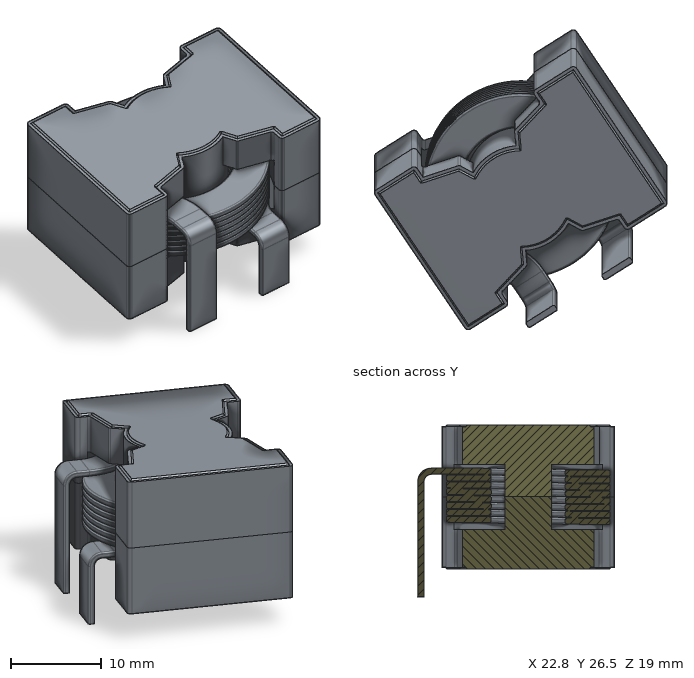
import cadquery as cq
import math

CORE_X = 18.97
CORE_Y = 26.5
CORE_HALF_HEIGHT = 7.76
LEG_INNER_Y = 7.7
POST_RADIUS = 12.0 / 2
WINDOW_RADIUS = 11.24
WINDOW_HALF_HEIGHT = 3.58
NOTCH_ANGLE = 28.0
KNEE_RADIUS = 7.75
LEG_ROOT_X = 7.87
CORNER_FILLET = 0.45
NOTCH_FILLET = 0.35

PAD_HEIGHT = 0.19
PAD_INSET = 0.37

WIRE_WIDTH = 3.8
WIRE_THICKNESS = 0.72
WIRE_FILLET = 0.2
COIL_OUTER_RADIUS = 10.55
COIL_MID_Z = -0.1
PITCH = 0.76
FULL_TURNS = 7
LEAD_Y = 4.98
OUTWARD_BEND_END_X = 9.25
LEAD_OUTER_X = 12.2
DOWN_BEND_RADIUS = 1.17
LEAD_BOTTOM_Z = -11.0

TOLERANCE = 0.03

COIL_RADIUS = COIL_OUTER_RADIUS - WIRE_WIDTH / 2
LEAD_X = LEAD_OUTER_X - WIRE_THICKNESS / 2
DOWN_BEND_START_X = LEAD_X - DOWN_BEND_RADIUS

OUTWARD_BEND_RADIUS = (OUTWARD_BEND_END_X**2 + LEAD_Y**2 - COIL_RADIUS**2) / (2 * (COIL_RADIUS - LEAD_Y))
OUTWARD_BEND_Y = LEAD_Y + OUTWARD_BEND_RADIUS
LEAD_ANGLE = math.degrees(math.atan2(OUTWARD_BEND_Y, OUTWARD_BEND_END_X))
TURNS = FULL_TURNS + (360 - 2 * LEAD_ANGLE) / 360
COIL_RISE = TURNS * PITCH
COIL_BOTTOM_Z = COIL_MID_Z - COIL_RISE / 2
COIL_TOP_Z = COIL_MID_Z + COIL_RISE / 2


def polar(radius, angle):
    """Point at an angle in degrees from the X axis."""
    return (radius * math.cos(math.radians(angle)), radius * math.sin(math.radians(angle)))


def core_outline():
    """Plan outline of the core, with sharp corners."""
    half_x = CORE_X / 2
    half_y = CORE_Y / 2
    post_x, post_y = polar(POST_RADIUS, NOTCH_ANGLE)
    knee_x, knee_y = polar(KNEE_RADIUS, NOTCH_ANGLE)
    return (
        cq.Workplane("XY")
        .moveTo(post_x, -post_y)
        .threePointArc((POST_RADIUS, 0), (post_x, post_y))
        .lineTo(knee_x, knee_y)
        .lineTo(LEG_ROOT_X, LEG_INNER_Y)
        .lineTo(half_x, LEG_INNER_Y)
        .lineTo(half_x, half_y)
        .lineTo(-half_x, half_y)
        .lineTo(-half_x, LEG_INNER_Y)
        .lineTo(-LEG_ROOT_X, LEG_INNER_Y)
        .lineTo(-knee_x, knee_y)
        .lineTo(-post_x, post_y)
        .threePointArc((-POST_RADIUS, 0), (-post_x, -post_y))
        .lineTo(-knee_x, -knee_y)
        .lineTo(-LEG_ROOT_X, -LEG_INNER_Y)
        .lineTo(-half_x, -LEG_INNER_Y)
        .lineTo(-half_x, -half_y)
        .lineTo(half_x, -half_y)
        .lineTo(half_x, -LEG_INNER_Y)
        .lineTo(LEG_ROOT_X, -LEG_INNER_Y)
        .lineTo(knee_x, -knee_y)
        .close()
    )


def raised_pad():
    """Pad that follows the core outline, with sloped sides."""
    return (
        core_outline()
        .offset2D(-PAD_INSET, "intersection")
        .extrude(PAD_HEIGHT, taper=45)
        .translate((0, 0, CORE_HALF_HEIGHT))
    )


def is_leg_corner(edge):
    return abs(abs(edge.Center().x) - CORE_X / 2) < TOLERANCE


def is_rounded_notch_corner(edge):
    """Knees and leg roots, except the root at -X, -Y, which stays sharp."""
    x, y = edge.Center().x, edge.Center().y
    is_knee = abs(math.hypot(x, y) - KNEE_RADIUS) < TOLERANCE
    is_root = abs(abs(x) - LEG_ROOT_X) < TOLERANCE
    is_sharp_root = is_root and x < 0 and y < 0
    return is_knee or (is_root and not is_sharp_root)


def upper_core_half():
    block = core_outline().extrude(CORE_HALF_HEIGHT)
    block = block.edges("|Z").filter(is_leg_corner).fillet(CORNER_FILLET)
    block = block.edges("|Z").filter(is_rounded_notch_corner).fillet(NOTCH_FILLET)
    window = cq.Workplane("XY").circle(WINDOW_RADIUS).circle(POST_RADIUS).extrude(WINDOW_HALF_HEIGHT)
    return block.cut(window).union(raised_pad())


def wire_section(plane):
    """Rounded wire cross-section: width along the plane's x, thickness along its y."""
    outline = cq.Sketch().rect(WIRE_WIDTH, WIRE_THICKNESS).vertices().fillet(WIRE_FILLET)
    return cq.Workplane(plane).placeSketch(outline)


def coil_turns():
    """Helix rising counter-clockwise from the lower lead to the upper one."""
    path = cq.Wire.makeHelix(PITCH, COIL_RISE, COIL_RADIUS)
    section = wire_section(cq.Plane(origin=(COIL_RADIUS, 0, 0), xDir=(1, 0, 0), normal=(0, -1, 0)))
    turns = section.sweep(cq.Workplane(path), isFrenet=True)
    return turns.rotate((0, 0, 0), (0, 0, 1), LEAD_ANGLE).translate((0, 0, COIL_BOTTOM_Z))


def lead(height):
    """Lead on the +Y side that leaves the coil at a height: outward bend, straight, bend down, straight."""
    bend_end = cq.Plane(origin=(OUTWARD_BEND_END_X, LEAD_Y, height), xDir=(0, 1, 0), normal=(1, 0, 0))
    bend_axis = ((OUTWARD_BEND_RADIUS, 0), (OUTWARD_BEND_RADIUS, -1))
    outward_bend = wire_section(bend_end).revolve(90 - LEAD_ANGLE, *bend_axis)
    path = (
        cq.Workplane("XZ", origin=(0, LEAD_Y, 0))
        .moveTo(OUTWARD_BEND_END_X, height)
        .lineTo(DOWN_BEND_START_X, height)
        .radiusArc((LEAD_X, height - DOWN_BEND_RADIUS), DOWN_BEND_RADIUS)
        .lineTo(LEAD_X, LEAD_BOTTOM_Z)
    )
    downward_run = wire_section(bend_end).sweep(path)
    return outward_bend.union(downward_run, clean=False)


def winding():
    lower_lead = lead(COIL_BOTTOM_Z)
    upper_lead = lead(COIL_TOP_Z).mirror("XZ")
    return coil_turns().union(lower_lead, clean=False, glue=True).union(upper_lead, clean=False, glue=True)


upper_core = upper_core_half().solids()
lower_core = upper_core.rotate((0, 0, 0), (1, 0, 0), 180)
coil = winding().solids()

result = cq.Compound.makeCompound([upper_core.val(), lower_core.val(), coil.val()])